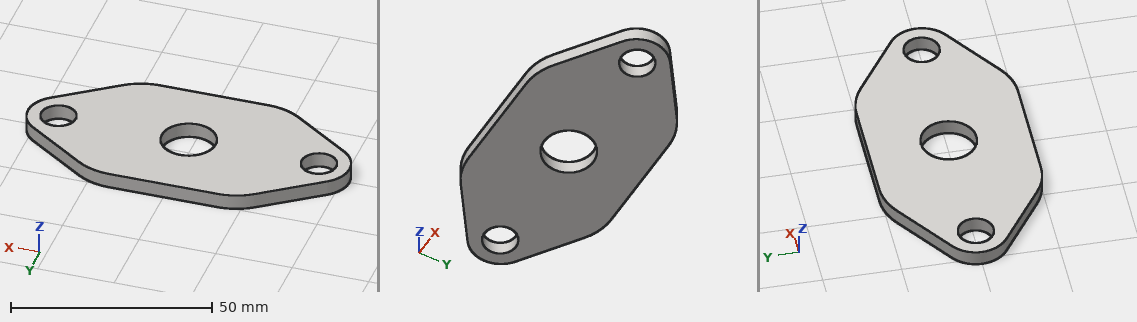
import cadquery as cq
import math

length = 84.0
width = 41.0
thickness = 4.0

end_radius = 8.4
shoulder_radius = 15.0
flat_length = 28.6

centre_hole_diameter = 14.0
mount_hole_diameter = 9.0
mount_hole_spacing = 68.0

end_x = length / 2 - end_radius
shoulder_x = flat_length / 2
shoulder_y = width / 2 - shoulder_radius

centre_distance = math.hypot(end_x - shoulder_x, shoulder_y)
centre_line_tilt = math.atan2(shoulder_y, end_x - shoulder_x)
flank_normal = math.acos((shoulder_radius - end_radius) / centre_distance) - centre_line_tilt


def arc_point(x, y, radius, angle):
    """Point on an arc at an angle from +X, in radians."""
    return x + radius * math.cos(angle), y + radius * math.sin(angle)


def mirrored(point, x_sign, y_sign):
    return point[0] * x_sign, point[1] * y_sign


end_tangent = arc_point(end_x, 0, end_radius, flank_normal)
shoulder_tangent = arc_point(shoulder_x, shoulder_y, shoulder_radius, flank_normal)
shoulder_middle = arc_point(
    shoulder_x, shoulder_y, shoulder_radius, (flank_normal + math.pi / 2) / 2
)
flat_end = (shoulder_x, width / 2)


def plate():
    """Elongated hexagonal plate with rounded shoulders and ends."""
    outline = cq.Workplane("XY").moveTo(*mirrored(end_tangent, 1, -1))
    for side in (1, -1):
        outline = (
            outline.threePointArc((side * length / 2, 0), mirrored(end_tangent, side, side))
            .lineTo(*mirrored(shoulder_tangent, side, side))
            .threePointArc(mirrored(shoulder_middle, side, side), mirrored(flat_end, side, side))
            .lineTo(*mirrored(flat_end, -side, side))
            .threePointArc(
                mirrored(shoulder_middle, -side, side), mirrored(shoulder_tangent, -side, side)
            )
            .lineTo(*mirrored(end_tangent, -side, side))
        )
    return outline.close().extrude(thickness)


def drill_holes(body):
    """Central opening and a mounting hole at each end, all through the plate."""
    body = body.faces(">Z").workplane(origin=(0, 0, thickness)).hole(centre_hole_diameter)
    mount_centres = [(-mount_hole_spacing / 2, 0), (mount_hole_spacing / 2, 0)]
    return (
        body.faces(">Z")
        .workplane(origin=(0, 0, thickness))
        .pushPoints(mount_centres)
        .hole(mount_hole_diameter)
    )


result = drill_holes(plate())